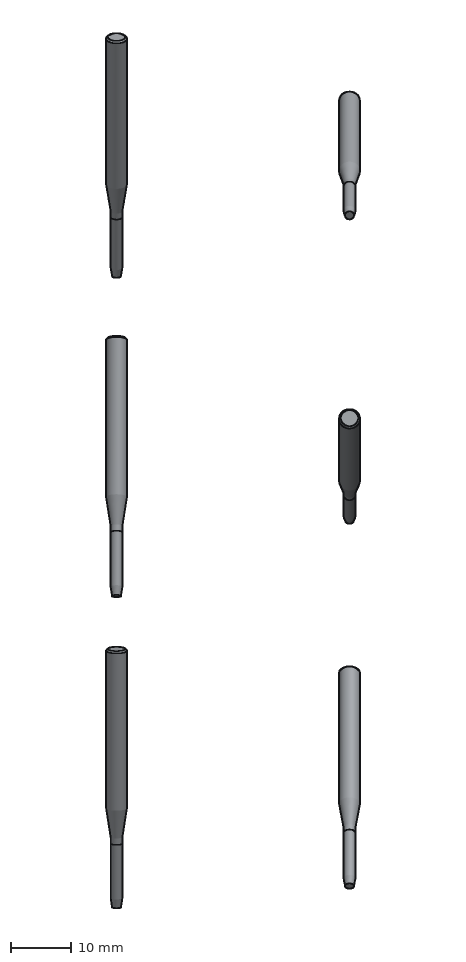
import cadquery as cq

total_length = 44.5
shank_diameter = 3.5
rod_diameter = 2.0
tip_diameter = 1.5

tip_length = 1.6
rod_length = 11.0
neck_length = 1.1
cone_length = 5.0
chamfer_height = 0.3
chamfer_width = 0.3

shank_radius = shank_diameter / 2
rod_radius = rod_diameter / 2
tip_radius = tip_diameter / 2
cone_bottom = rod_length + neck_length
cone_top = cone_bottom + cone_length
chamfer_bottom = total_length - chamfer_height


def revolve_profile(points):
    """Revolve a closed outline of (radius, height) points about the Z axis."""
    outline = cq.Workplane("XZ").polyline(points).close()
    return outline.revolve(360, (0, 0, 0), (0, 1, 0))


def make_holder():
    """Chamfered shank that narrows through a cone to a short straight neck."""
    return revolve_profile([
        (0, rod_length),
        (rod_radius, rod_length),
        (rod_radius, cone_bottom),
        (shank_radius, cone_top),
        (shank_radius, chamfer_bottom),
        (shank_radius - chamfer_width, total_length),
        (0, total_length),
    ])


def make_rod():
    """Slender rod with a tapered, flat-ended tip, butted against the neck."""
    return revolve_profile([
        (0, 0),
        (tip_radius, 0),
        (rod_radius, tip_length),
        (rod_radius, rod_length),
        (0, rod_length),
    ])


holder = make_holder()
rod = make_rod()

result = cq.Compound.makeCompound([holder.val(), rod.val()])